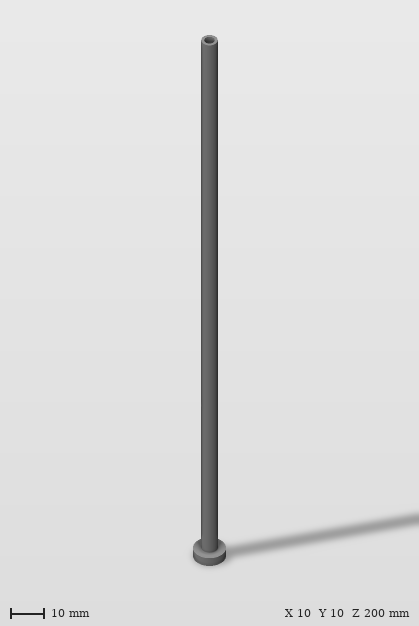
import cadquery as cq

TOTAL_LENGTH = 200.0
HEAD_DIAMETER = 10.0
HEAD_HEIGHT = 3.0
SLEEVE_DIAMETER = 5.0
BORE_DIAMETER = 3.2
NECK_FILLET_RADIUS = 0.3

HEAD_RADIUS = HEAD_DIAMETER / 2
SLEEVE_RADIUS = SLEEVE_DIAMETER / 2
BORE_RADIUS = BORE_DIAMETER / 2


def sleeve_half_section():
    """Right half of the XZ section: head at the bottom, filleted neck, straight tube."""
    neck_outer_radius = SLEEVE_RADIUS + NECK_FILLET_RADIUS
    neck_top = HEAD_HEIGHT + NECK_FILLET_RADIUS
    return (
        cq.Workplane("XZ")
        .moveTo(BORE_RADIUS, 0)
        .lineTo(HEAD_RADIUS, 0)
        .lineTo(HEAD_RADIUS, HEAD_HEIGHT)
        .lineTo(neck_outer_radius, HEAD_HEIGHT)
        .radiusArc((SLEEVE_RADIUS, neck_top), NECK_FILLET_RADIUS)
        .lineTo(SLEEVE_RADIUS, TOTAL_LENGTH)
        .lineTo(BORE_RADIUS, TOTAL_LENGTH)
        .close()
    )


result = sleeve_half_section().revolve(360, (0, 0, 0), (0, 1, 0))